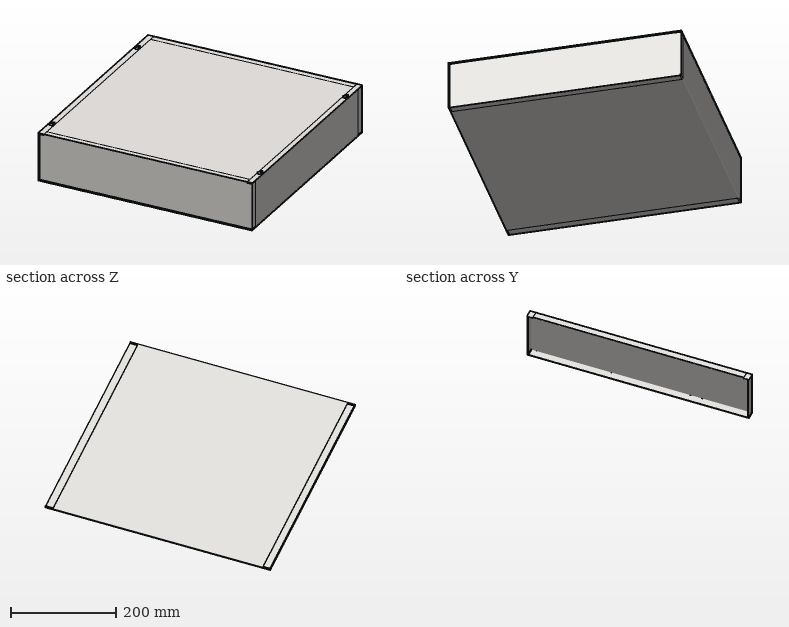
import cadquery as cq

SIZE = 457.0
HEIGHT = 103.0

SHEET = 1.5
BEND_RADIUS = 1.9
WRAPPER_LIP = 12.0
PANEL_LIP = 13.0
PANEL_TAB = 15.5

SCREW_INSET = 7.0
SCREW_Y = 178.0
SCREW_HOLE_DIAMETER = 4.0
SLOT_WIDTH = 6.0
KEYHOLE_DIAMETER = 10.5
KEYHOLE_DROP = 7.0

HALF = SIZE / 2
WALL_INSIDE = HALF - SHEET
COVER_BOTTOM = HEIGHT - SHEET
LIP_BOTTOM = COVER_BOTTOM - SHEET
LIP_EDGE = HALF - WRAPPER_LIP
INNER_RADIUS = BEND_RADIUS - SHEET
SCREW_X = HALF - SCREW_INSET
SCREW_POINTS = [(x, y) for x in (-SCREW_X, SCREW_X) for y in (-SCREW_Y, SCREW_Y)]


def block(x_range, y_range, z_range):
    """Box between the given lower and upper limits on each axis."""
    lengths = [upper - lower for lower, upper in (x_range, y_range, z_range)]
    corner = (x_range[0], y_range[0], z_range[0])
    return cq.Workplane("XY").box(*lengths, centered=False).translate(corner)


def sheet_holes(points, diameter, bottom):
    """Upright round cutters one sheet tall."""
    plane = cq.Workplane("XY").workplane(offset=bottom)
    return plane.pushPoints(points).circle(diameter / 2).extrude(SHEET)


def make_cover():
    """Flat cover sheet with four keyholes, slots pointing to +Y."""
    sheet = block((-HALF, HALF), (-HALF, HALF), (COVER_BOTTOM, HEIGHT))
    slot_length = KEYHOLE_DROP + SLOT_WIDTH
    slots = (
        cq.Workplane("XY")
        .workplane(offset=COVER_BOTTOM)
        .pushPoints([(x, y - KEYHOLE_DROP / 2) for x, y in SCREW_POINTS])
        .slot2D(slot_length, SLOT_WIDTH, 90)
        .extrude(SHEET)
    )
    large_points = [(x, y - KEYHOLE_DROP) for x, y in SCREW_POINTS]
    large_holes = sheet_holes(large_points, KEYHOLE_DIAMETER, COVER_BOTTOM)
    return sheet.cut(slots).cut(large_holes)


def make_wrapper():
    """Floor and both X walls bent from one sheet, with inward lips under the cover."""
    along_y = (-HALF, HALF)
    tube = block((-HALF, HALF), along_y, (0, COVER_BOTTOM)).edges("|Y").fillet(BEND_RADIUS)
    cavity = block((-WALL_INSIDE, WALL_INSIDE), along_y, (SHEET, LIP_BOTTOM))
    cavity = cavity.edges("|Y").fillet(INNER_RADIUS)
    opening = block((-LIP_EDGE, LIP_EDGE), along_y, (LIP_BOTTOM, COVER_BOTTOM))
    screw_holes = sheet_holes(SCREW_POINTS, SCREW_HOLE_DIAMETER, LIP_BOTTOM)
    return tube.cut(cavity).cut(opening).cut(screw_holes)


def bent_sheet(outside, inside, bend_edges):
    """Sheet left between two blocks, bent along the chosen edges of their -Y faces."""
    outside = outside.faces("<Y").edges(bend_edges).fillet(BEND_RADIUS)
    inside = inside.faces("<Y").edges(bend_edges).fillet(INNER_RADIUS)
    return outside.cut(inside)


def make_end_panel():
    """End panel on the -Y side: a web with a top lip, two side tabs and a bottom tab.

    The top lip fits between the wrapper lips, and the corners between bends are notched.
    """
    tab_y = (-HALF, -HALF + PANEL_TAB)
    lip_y = (-HALF, -HALF + PANEL_LIP)
    tab_inside_y = (-HALF + SHEET, tab_y[1])
    lip_inside_y = (-HALF + SHEET, lip_y[1])
    tab_inside = WALL_INSIDE - SHEET
    flat_x = (BEND_RADIUS - WALL_INSIDE, WALL_INSIDE - BEND_RADIUS)
    flat_z = (SHEET + BEND_RADIUS, COVER_BOTTOM - BEND_RADIUS)
    lip_x = (-LIP_EDGE, LIP_EDGE)

    web_and_side_tabs = bent_sheet(
        block((-WALL_INSIDE, WALL_INSIDE), tab_y, flat_z),
        block((-tab_inside, tab_inside), tab_inside_y, flat_z),
        "|Z",
    )
    bottom_tab = bent_sheet(
        block(flat_x, tab_y, (SHEET, flat_z[1])),
        block(flat_x, tab_inside_y, (2 * SHEET, flat_z[1])),
        "<Z",
    )
    top_lip = bent_sheet(
        block(lip_x, lip_y, (flat_z[0], COVER_BOTTOM)),
        block(lip_x, lip_inside_y, (flat_z[0], LIP_BOTTOM)),
        ">Z",
    )
    return web_and_side_tabs.union(bottom_tab).union(top_lip)


cover = make_cover()
wrapper = make_wrapper()

end_panel = make_end_panel()
end_panels = [end_panel.rotate((0, 0, 0), (0, 0, 1), angle) for angle in (0, 180)]

result = cq.Compound.makeCompound(
    [cover.val(), wrapper.val(), *[panel.val() for panel in end_panels]]
)